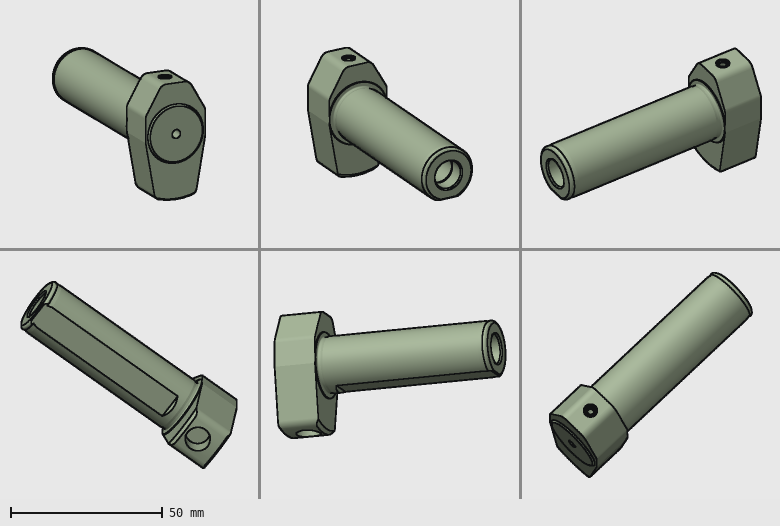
import cadquery as cq
import math

length = 75.0
flange_start = 59.9
head_start = 60.1
head_end = 74.4

shank_radius = 19.05 / 2
neck_radius = 18.65 / 2
nose_face_radius = 8.6
nose_chamfer_length = 0.3
nose_chamfer_radius = 9.0
nose_crest_radius = 9.5
nose_crest_x = 0.95
nose_end_x = 1.6
nose_taper_end_x = 3.2
neck_taper_start_x = 58.0
neck_start_x = 58.8
neck_fillet = 0.4
flange_face_radius = 11.0
flange_base_radius = 11.15
end_boss_radius = 10.2
end_boss_chamfer = length - head_end

flat_distance = 8.5
flat_end_x = 55.0
flat_nose_chamfer = 0.4

head_half_width = 11.0
head_top = 17.5
head_bottom_radius = 23.0
top_half_width = 5.05
flank_angle = math.radians(30)
side_bottom = -1.9
lower_taper_angle = math.radians(10)
head_fillet = 3.0
bottom_chamfer_front = 1.2
bottom_chamfer_back = 0.5

bore_mouth_radius = 10.6 / 2
bore_mouth_chamfer_length = 0.6
bore_radius = 9.8 / 2
bore_depth = 5.9
middle_bore_radius = 9.4 / 2
middle_bore_end = 20.0
inner_bore_radius = 8.0 / 2
inner_bore_end = 35.0
drill_radius = 6.9 / 2
drill_end = 50.0
pilot_radius = 4.5 / 2
pilot_end = 55.0
through_mouth_radius = 3.4 / 2
through_radius = 3.0 / 2
drill_point_angle = math.radians(59)

cross_hole_x = 66.4
screw_hole_radius = 4.5 / 2
screw_recess = 0.6
screw_radius = 4.0 / 2
screw_tip_radius = 3.0 / 2
socket_radius = 2.31 / 2
socket_depth = 1.5
bottom_hole_radius = 8.2 / 2
bottom_hole_depth = 8.0


def revolve_about_x(profile):
    """Turn an XY-plane profile (x, radius) into a solid of revolution about X."""
    return profile.close().revolve(360, (0, 0, 0), (1, 0, 0))


def make_shank():
    profile = (
        cq.Workplane("XY")
        .lineTo(0, nose_face_radius)
        .lineTo(nose_chamfer_length, nose_chamfer_radius)
        .threePointArc((nose_crest_x, nose_crest_radius), (nose_end_x, neck_radius))
        .lineTo(nose_taper_end_x, shank_radius)
        .lineTo(neck_taper_start_x, shank_radius)
        .lineTo(neck_start_x, neck_radius)
        .lineTo(flange_start - neck_fillet, neck_radius)
        .radiusArc((flange_start, neck_radius + neck_fillet), -neck_fillet)
        .lineTo(head_start, neck_radius + neck_fillet)
        .lineTo(head_start, end_boss_radius)
        .lineTo(head_end, end_boss_radius)
        .lineTo(length, end_boss_radius - end_boss_chamfer)
        .lineTo(length, 0)
    )
    return revolve_about_x(profile)


def make_flat_cutter():
    """Wedge-ended block that mills the flat and runs out at 45 degrees."""
    depth = 2 * (shank_radius - flat_distance)
    return (
        cq.Workplane("XZ", origin=(0, shank_radius, 0))
        .moveTo(0, flat_nose_chamfer - flat_distance)
        .lineTo(flat_nose_chamfer, -flat_distance)
        .lineTo(flat_end_x, -flat_distance)
        .lineTo(flat_end_x + depth, -flat_distance - depth)
        .lineTo(0, -flat_distance - depth)
        .close()
        .extrude(2 * shank_radius)
    )


def make_head_prism(start_x):
    """Rounded head outline, extruded from start_x to the back of the head."""
    shoulder_z = head_top - (head_half_width - top_half_width) / math.tan(flank_angle)
    sin_taper = math.sin(lower_taper_angle)
    cos_taper = math.cos(lower_taper_angle)
    along = -(head_half_width * sin_taper + side_bottom * cos_taper)
    start_squared = head_half_width**2 + side_bottom**2
    run = -along + math.sqrt(along**2 + head_bottom_radius**2 - start_squared)
    foot_y = head_half_width - run * sin_taper
    foot_z = side_bottom - run * cos_taper

    head = (
        cq.Workplane("YZ", origin=(start_x, 0, 0))
        .moveTo(-top_half_width, head_top)
        .lineTo(top_half_width, head_top)
        .lineTo(head_half_width, shoulder_z)
        .lineTo(head_half_width, side_bottom)
        .lineTo(foot_y, foot_z)
        .threePointArc((0, -head_bottom_radius), (-foot_y, foot_z))
        .lineTo(-head_half_width, side_bottom)
        .lineTo(-head_half_width, shoulder_z)
        .close()
        .extrude(head_end - start_x)
    )
    corners = ((top_half_width, head_top), (head_half_width, shoulder_z), (foot_y, foot_z))
    for y, z in corners:
        for side in (1, -1):
            point = (start_x + head_end) / 2, side * y, z
            head = head.edges(cq.NearestToPointSelector(point)).fillet(head_fillet)
    return head


def make_head_envelope():
    """Turned envelope that puts conical chamfers on the round bottom of the head."""
    profile = (
        cq.Workplane("XY")
        .moveTo(head_start, 0)
        .lineTo(head_start, head_bottom_radius - bottom_chamfer_front)
        .lineTo(head_start + bottom_chamfer_front, head_bottom_radius)
        .lineTo(head_end - bottom_chamfer_back, head_bottom_radius)
        .lineTo(head_end, head_bottom_radius - bottom_chamfer_back)
        .lineTo(head_end, 0)
    )
    return revolve_about_x(profile)


def make_head():
    return make_head_prism(head_start).intersect(make_head_envelope())


def make_flange():
    """Thin conical seat in front of the head, trimmed where it passes the head outline."""
    profile = (
        cq.Workplane("XY")
        .moveTo(flange_start, 0)
        .lineTo(flange_start, flange_face_radius)
        .lineTo(head_start, flange_base_radius)
        .lineTo(head_start, 0)
    )
    return revolve_about_x(profile).intersect(make_head_prism(flange_start))


def make_bore():
    point_length = (drill_radius - pilot_radius) / math.tan(drill_point_angle)
    profile = (
        cq.Workplane("XY")
        .lineTo(0, bore_mouth_radius)
        .lineTo(bore_mouth_chamfer_length, bore_radius)
        .lineTo(bore_depth, bore_radius)
        .lineTo(bore_depth + bore_radius - middle_bore_radius, middle_bore_radius)
        .lineTo(middle_bore_end, middle_bore_radius)
        .lineTo(middle_bore_end + middle_bore_radius - inner_bore_radius, inner_bore_radius)
        .lineTo(inner_bore_end, inner_bore_radius)
        .lineTo(inner_bore_end + inner_bore_radius - drill_radius, drill_radius)
        .lineTo(drill_end, drill_radius)
        .lineTo(drill_end + point_length, pilot_radius)
        .lineTo(pilot_end, pilot_radius)
        .lineTo(pilot_end, through_mouth_radius)
        .lineTo(pilot_end + through_mouth_radius - through_radius, through_radius)
        .lineTo(length, through_radius)
        .lineTo(length, 0)
    )
    return revolve_about_x(profile)


def make_screw_recess():
    """Recess in the top face around a chamfered screw end with a drilled socket."""
    chamfer_depth = screw_radius - screw_tip_radius
    tip_z = head_top - screw_recess
    socket_floor = tip_z - socket_depth
    point_depth = socket_radius / math.tan(drill_point_angle)
    profile = (
        cq.Workplane("XZ", origin=(cross_hole_x, 0, 0))
        .moveTo(0, head_top)
        .lineTo(screw_hole_radius, head_top)
        .lineTo(screw_radius, head_top - (screw_hole_radius - screw_radius))
        .lineTo(screw_radius, tip_z - chamfer_depth)
        .lineTo(screw_tip_radius, tip_z)
        .lineTo(socket_radius, tip_z)
        .lineTo(socket_radius, socket_floor)
        .lineTo(0, socket_floor - point_depth)
        .close()
    )
    return profile.revolve(360, (0, 0, 0), (0, 1, 0))


def make_bottom_hole():
    return (
        cq.Workplane("XY", origin=(cross_hole_x, 0, -head_bottom_radius))
        .circle(bottom_hole_radius)
        .extrude(bottom_hole_depth)
    )


result = make_shank().cut(make_flat_cutter()).union(make_flange()).union(make_head())
for cutter in (make_bore(), make_screw_recess(), make_bottom_hole()):
    result = result.cut(cutter)